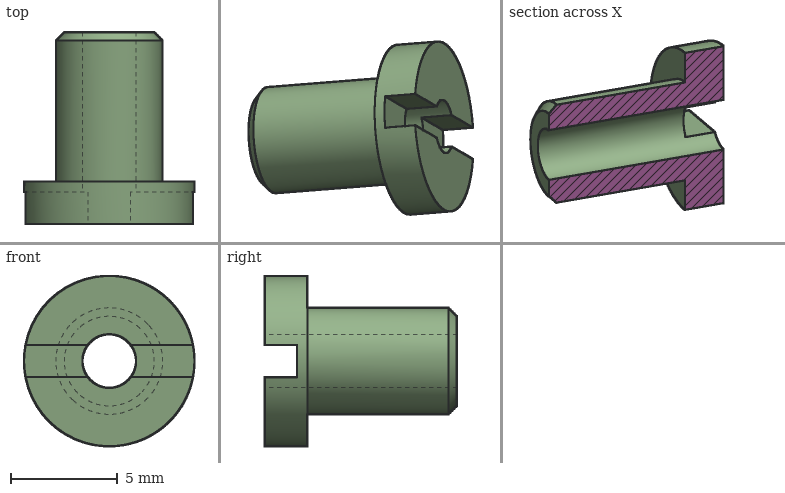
import cadquery as cq

total_length = 9.0
head_diameter = 8.0
head_height = 2.0
shank_diameter = 5.0
tip_chamfer = 0.4
bore_diameter = 2.5
slot_width = 1.5
slot_depth = 1.5


def cylinder_along_y(diameter, length):
    """Cylinder from the head face (Y = 0) toward +Y."""
    return cq.Workplane("XZ").circle(diameter / 2).extrude(-length)


shank = cylinder_along_y(shank_diameter, total_length).faces(">Y").chamfer(tip_chamfer)

head = cylinder_along_y(head_diameter, head_height)

bore = cylinder_along_y(bore_diameter, total_length)

slot = cq.Workplane("XY").box(head_diameter, slot_depth, slot_width, centered=(True, False, True))

result = head.union(shank).cut(bore).cut(slot)